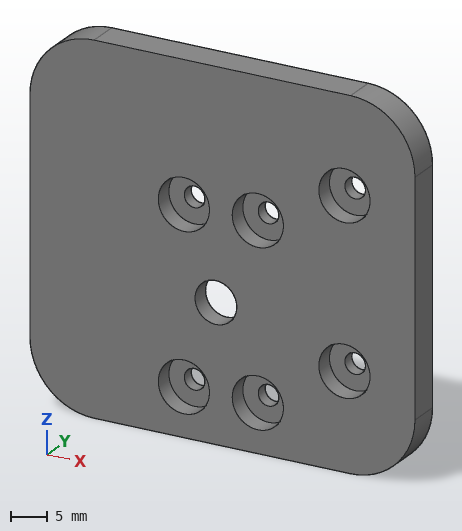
import cadquery as cq

plate_width = 60.0
plate_height = 56.0
plate_thickness = 5.0
corner_radius = 10.0

screw_diameter = 3.2
counterbore_diameter = 8.0
counterbore_depth = 3.0

center_hole_diameter = 6.5
center_hole_x = -1.0
center_hole_z = -6.95

recess_diameter = 20.0
recess_floor_thickness = 3.0
recess_depth = plate_thickness - recess_floor_thickness

group_left_x = -6.0
group_spacing_x = 11.5
group_spacing_z = 27.0

pair_x = 19.0
pair_spacing_z = 26.0

group_points = [
    (group_left_x + column * group_spacing_x, center_hole_z + side * group_spacing_z / 2)
    for column in (0, 1)
    for side in (-1, 1)
]
pair_points = [(pair_x, side * pair_spacing_z / 2) for side in (-1, 1)]


def make_plate():
    """Rounded plate centred on the origin."""
    plate = cq.Workplane("XY").box(plate_width, plate_thickness, plate_height)
    return plate.edges("|Y").fillet(corner_radius)


def front_face(body):
    """Workplane on the front face, with local axes along X and Z."""
    return body.faces("<Y").workplane(origin=(0, 0, 0))


def cut_screw_holes(body):
    """Counterbored holes of the group of four and of the pair."""
    return front_face(body).pushPoints(group_points + pair_points).cboreHole(
        screw_diameter, counterbore_diameter, counterbore_depth
    )


def cut_center_hole(body):
    """Plain hole, opening into the wider recess at the back."""
    drilled = front_face(body).pushPoints([(center_hole_x, center_hole_z)]).hole(center_hole_diameter)
    recess = (
        cq.Workplane("XZ", origin=(center_hole_x, plate_thickness / 2, center_hole_z))
        .circle(recess_diameter / 2)
        .extrude(recess_depth)
    )
    return drilled.cut(recess)


result = cut_center_hole(cut_screw_holes(make_plate()))